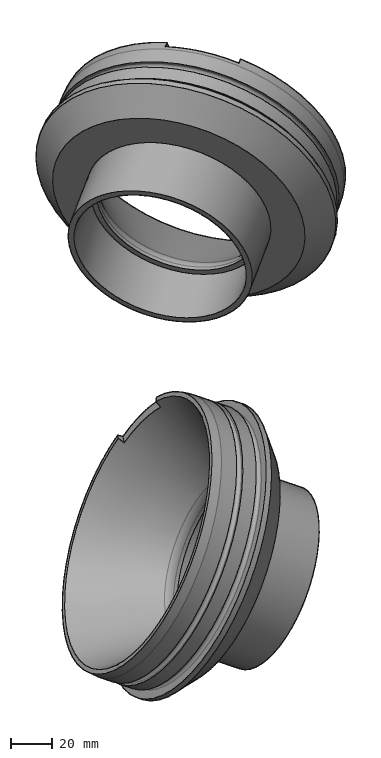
import cadquery as cq
import math

total_length = 75.0
rear_face_y = total_length / 2

flange_diameter = 151.38
body_diameter = 144.38
rear_taper_length = 5.0
rear_taper_inset = 0.6
flange_rear = 28.0
flange_rim_end = 31.0
shoulder_drop = 12.0
shoulder_face = flange_rim_end + shoulder_drop

groove_width = 3.5
groove_depth = 2.8
groove_starts = (13.5, flange_rear - groove_width)

tube_diameter = 93.0
tube_bore_diameter = 87.0
throat_diameter = 81.0
tube_bore_end = 46.2
throat_land_length = 2.0
throat_land_end = tube_bore_end - throat_land_length

mouth_diameter = 138.5
throat_round_radius = 7.5

notch_angle = 30.0
notch_depth = 3.0


def section_point(radius, distance):
    """Place a radius and a distance from the rear face in the YZ plane."""
    return (rear_face_y - distance, radius)


def revolve_section(section):
    """Close a half section and revolve it about the Y axis."""
    return section.close().revolve(360, (0, 0, 0), (1, 0, 0))


def make_outer_body():
    body_radius = body_diameter / 2
    flange_radius = flange_diameter / 2
    tube_radius = tube_diameter / 2
    outline = [
        (0, 0),
        (body_radius - rear_taper_inset, 0),
        (body_radius, rear_taper_length),
        (body_radius, flange_rear),
        (flange_radius, flange_rear),
        (flange_radius, flange_rim_end),
        (flange_radius - shoulder_drop, shoulder_face),
        (tube_radius, shoulder_face),
        (tube_radius, total_length),
        (0, total_length),
    ]
    points = [section_point(radius, distance) for radius, distance in outline]
    return revolve_section(cq.Workplane("YZ").polyline(points))


def make_groove(start):
    end = start + groove_width
    middle = (start + end) / 2
    floor_radius = body_diameter / 2 - groove_depth
    wall_foot_radius = floor_radius + groove_width / 2
    section = (
        cq.Workplane("YZ")
        .moveTo(*section_point(flange_diameter / 2, start))
        .lineTo(*section_point(wall_foot_radius, start))
        .threePointArc(section_point(floor_radius, middle), section_point(wall_foot_radius, end))
        .lineTo(*section_point(flange_diameter / 2, end))
    )
    return revolve_section(section)


def make_cavity():
    throat_radius = throat_diameter / 2
    tube_bore_radius = tube_bore_diameter / 2
    mouth_radius = mouth_diameter / 2

    round_centre_radius = throat_radius + throat_round_radius
    centre_offset = mouth_radius - round_centre_radius
    centre_distance = math.hypot(centre_offset, throat_land_end)
    funnel_half_angle = (
        math.atan2(centre_offset, throat_land_end)
        + math.asin(throat_round_radius / centre_distance)
    )

    def round_point(angle):
        return section_point(
            round_centre_radius - throat_round_radius * math.cos(angle),
            throat_land_end - throat_round_radius * math.sin(angle),
        )

    section = (
        cq.Workplane("YZ")
        .moveTo(*section_point(0, 0))
        .lineTo(*section_point(mouth_radius, 0))
        .lineTo(*round_point(funnel_half_angle))
        .threePointArc(round_point(funnel_half_angle / 2), round_point(0))
        .lineTo(*section_point(throat_radius, tube_bore_end))
        .lineTo(*section_point(tube_bore_radius, tube_bore_end))
        .lineTo(*section_point(tube_bore_radius, total_length))
        .lineTo(*section_point(0, total_length))
    )
    return revolve_section(section)


def make_notch():
    """Wedge with radial sides, its point on the axis."""
    reach = flange_diameter
    half_width = reach * math.tan(math.radians(notch_angle / 2))
    return (
        cq.Workplane("XZ", origin=(0, rear_face_y, 0))
        .polyline([(0, 0), (half_width, reach), (-half_width, reach)])
        .close()
        .extrude(notch_depth)
    )


result = make_outer_body().cut(make_cavity())
for groove_start in groove_starts:
    result = result.cut(make_groove(groove_start))
result = result.cut(make_notch())